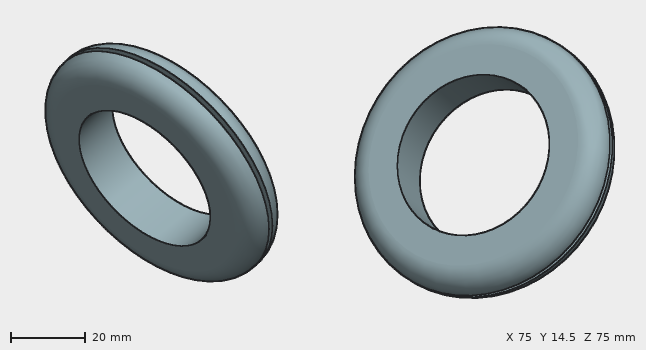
import cadquery as cq

outer_diameter = 75.0
bore_diameter = 45.0
groove_diameter = 55.0
total_width = 14.5
groove_width = 1.5

flange_width = (total_width - groove_width) / 2
rim_radius = flange_width


def flange():
    """Solid disc from the XZ plane toward -Y, with a quarter-round rim."""
    outer_radius = outer_diameter / 2
    flat_radius = outer_radius - rim_radius
    diagonal = rim_radius / 2**0.5
    return (
        cq.Workplane("XY")
        .lineTo(outer_radius, 0)
        .threePointArc((flat_radius + diagonal, -diagonal), (flat_radius, -flange_width))
        .lineTo(0, -flange_width)
        .close()
        .revolve(360, (0, 0), (0, 1))
    )


front_flange = flange().translate((0, -groove_width / 2, 0))
back_flange = front_flange.mirror("XZ")
core = cq.Workplane("XZ").circle(groove_diameter / 2).extrude(groove_width / 2, both=True)
bore = cq.Workplane("XZ").circle(bore_diameter / 2).extrude(total_width, both=True)

result = core.union(front_flange).union(back_flange).cut(bore)